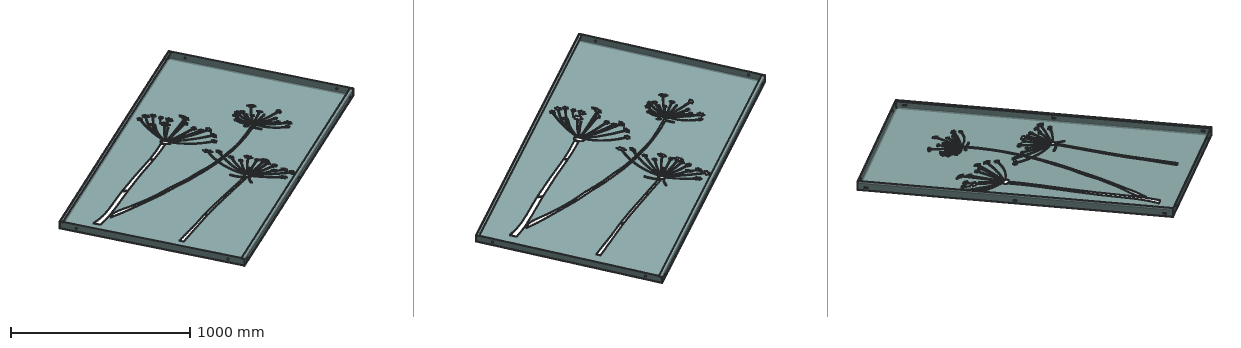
import cadquery as cq
import math

LENGTH_X = 1100.0
LENGTH_Y = 1800.0
HEIGHT = 50.0
SHEET = 3.0
BEND_INNER = 1.5
BEND_OUTER = BEND_INNER + SHEET
LIP_WIDTH = 20.0
CORNER_GAP = 0.5
END_WALL_NOTCH = LIP_WIDTH + CORNER_GAP

END_HOLE_DIA = 8.0
END_HOLE_X = 450.0
END_HOLE_Z = HEIGHT / 2
SLOT_LENGTH = 20.0
SLOT_WIDTH = 6.0
SLOT_Y = 850.0
SLOT_Z = 20.0

STALK_ROOT_WIDTH = 1.5
STALK_TIP_WIDTH = 6.0
SEPAL_WIDTH = 6.0
HUB_BRIDGE = 8.0
PETALS = 6
NOTCH_RATIO = 0.6
NODE_BRIDGE = 5.0
STEM_FOOT_Y = -787.0


def long_sides():
    """Floor and long walls: a C section with round bends, run along Y."""
    half = LENGTH_X / 2
    outer = cq.Workplane("XZ").rect(LENGTH_X, HEIGHT).extrude(LENGTH_Y / 2, both=True)
    outer = outer.edges("|Y").fillet(BEND_OUTER)
    inner = (
        cq.Workplane("XZ")
        .rect(LENGTH_X - 2 * SHEET, HEIGHT - 2 * SHEET)
        .extrude(LENGTH_Y / 2, both=True)
        .edges("|Y")
        .fillet(BEND_INNER)
    )
    opening = cq.Workplane("XY").box(2 * (half - LIP_WIDTH), LENGTH_Y, HEIGHT, centered=(True, True, False))
    return outer.cut(inner).cut(opening).translate((0, 0, HEIGHT / 2))


def end_wall():
    """Wall on the -Y end, bent up from the floor and notched under the lips."""
    width = LENGTH_X - 2 * (SHEET + CORNER_GAP)
    wall_y = -LENGTH_Y / 2
    profile = (
        cq.Workplane("YZ")
        .moveTo(wall_y + BEND_OUTER, 0)
        .radiusArc((wall_y, BEND_OUTER), BEND_OUTER)
        .lineTo(wall_y, HEIGHT)
        .lineTo(wall_y + SHEET, HEIGHT)
        .lineTo(wall_y + SHEET, BEND_OUTER)
        .radiusArc((wall_y + BEND_OUTER, SHEET), -BEND_INNER)
        .close()
    )
    wall = profile.extrude(width / 2, both=True)
    for side in (-1, 1):
        notch = cq.Workplane("XY").box(2 * END_WALL_NOTCH, 2 * BEND_OUTER, 2 * (SHEET + CORNER_GAP))
        wall = wall.cut(notch.translate((side * LENGTH_X / 2, wall_y, HEIGHT)))
        relief = cq.Workplane("XY").box(2 * BEND_OUTER, 4 * BEND_OUTER, 2 * BEND_OUTER)
        wall = wall.cut(relief.translate((side * LENGTH_X / 2, wall_y, 0)))
    return wall


def tray():
    """Complete tray without holes."""
    body = long_sides()
    for side in (-1, 1):
        strip = cq.Workplane("XY").box(LENGTH_X - 2 * SHEET, 2 * BEND_OUTER, 4 * BEND_OUTER)
        body = body.cut(strip.translate((0, side * LENGTH_Y / 2, 0)))
    wall = end_wall()
    return body.union(wall).union(wall.mirror("XZ"))


def wall_holes():
    """Round holes through the end walls and slots through the long walls."""
    holes = (
        cq.Workplane("XZ", origin=(0, 0, END_HOLE_Z))
        .pushPoints([(-END_HOLE_X, 0), (END_HOLE_X, 0)])
        .circle(END_HOLE_DIA / 2)
        .extrude(LENGTH_Y, both=True)
    )
    slots = (
        cq.Workplane("YZ", origin=(0, 0, SLOT_Z))
        .pushPoints([(-SLOT_Y, 0), (0, 0), (SLOT_Y, 0)])
        .slot2D(SLOT_LENGTH, SLOT_WIDTH)
        .extrude(LENGTH_X, both=True)
    )
    return [holes, slots]


def floor_cutter(outline):
    """Turn a closed outline into a cutter that passes through the floor."""
    return outline.extrude(2 * SHEET, both=True)


def floret(x, y, width, height, tilt=0):
    """Cutter for one flower head: a ring of pointed petals in a tilted ellipse."""
    turn = math.radians(tilt)

    def rim(angle, ratio):
        u = ratio * width / 2 * math.cos(angle)
        v = ratio * height / 2 * math.sin(angle)
        return (x + u * math.cos(turn) - v * math.sin(turn), y + u * math.sin(turn) + v * math.cos(turn))

    step = math.pi / PETALS
    corners = [rim(corner * step, NOTCH_RATIO if corner % 2 else 1) for corner in range(2 * PETALS)]
    return floor_cutter(cq.Workplane("XY").polyline(corners).close())


def stalk(root, tip, bow, root_width=STALK_ROOT_WIDTH, tip_width=STALK_TIP_WIDTH):
    """Cutter for a thin tapered stalk; bow is how far its middle sinks below the chord."""
    dx = tip[0] - root[0]
    dy = tip[1] - root[1]
    length = math.hypot(dx, dy)
    nx = -dy / length
    ny = dx / length
    sink = -math.copysign(bow, ny)

    def offset(share, distance):
        return (root[0] + share * dx + distance * nx, root[1] + share * dy + distance * ny)

    middle = (root_width + tip_width) / 4
    outline = (
        cq.Workplane("XY")
        .moveTo(*offset(0, root_width / 2))
        .threePointArc(offset(0.5, sink + middle), offset(1, tip_width / 2))
        .lineTo(*offset(1, -tip_width / 2))
        .threePointArc(offset(0.5, sink - middle), offset(0, -root_width / 2))
        .close()
    )
    return floor_cutter(outline)


def umbel(hub, hub_width, hub_height, rays):
    """Cutters for a hub and its rays: (x, y, bow, floret width, height, tilt) for each ray."""
    cutters = [floor_cutter(cq.Workplane("XY").center(*hub).ellipse(hub_width / 2, hub_height / 2))]
    for x, y, bow, width, height, tilt in rays:
        angle = math.atan2((y - 2 * bow - hub[1]) / hub_height, (x - hub[0]) / hub_width)
        root = (
            hub[0] + (hub_width / 2 + HUB_BRIDGE) * math.cos(angle),
            hub[1] + (hub_height / 2 + HUB_BRIDGE) * math.sin(angle),
        )
        cutters.append(stalk(root, (x, y), bow))
        if width:
            cutters.append(floret(x, y, width, height, tilt))
    return cutters


def stem(left, right, nodes):
    """Cutters for a stem between two smooth edges, with solid bridges (x, y, tilt) at its nodes."""
    outline = (
        cq.Workplane("XY")
        .moveTo(*left[0])
        .spline(left[1:], includeCurrent=True)
        .lineTo(*right[-1])
        .spline(right[-2::-1], includeCurrent=True)
        .close()
    )
    cutter = floor_cutter(outline)
    bridge_length = 60.0
    for x, y, tilt in nodes:
        bridge = cq.Workplane("XY").box(bridge_length, NODE_BRIDGE, 8 * SHEET)
        cutter = cutter.cut(bridge.rotate((0, 0, 0), (0, 0, 1), tilt).translate((x, y, 0)))
    return [cutter]


def left_flower():
    """Large flower on the left with the thickest stem."""
    rays = [
        (-495, 275, 10, 32, 26, 0),
        (-473, 312, 22, 40, 28, 0),
        (-408, 246, 12, 34, 16, 0),
        (-390, 236, 9, 0, 0, 0),
        (-345, 275, 6, 60, 32, 0),
        (-318, 252, 3, 0, 0, 0),
        (-258, 368, 1, 52, 26, -20),
        (-243, 325, 1, 44, 22, -40),
        (-180, 290, 4, 30, 28, 0),
        (-134, 285, 4, 32, 22, 0),
        (-97, 306, 6, 46, 24, -35),
        (-53, 262, 8, 50, 24, -30),
        (-30, 208, 18, 34, 26, -20),
    ]
    cutters = umbel((-281, 105), 60, 29, rays)
    cutters.append(floret(-338, 325, 50, 26, -15))
    cutters.append(floret(-285, 380, 28, 14, -10))
    cutters.append(floret(-436, 331, 34, 22))
    cutters.append(floret(-388, 327, 26, 22))
    cutters.append(stalk((-406, 258), (-436, 331), 3))
    cutters.append(stalk((-377, 290), (-388, 327), 3))
    cutters.append(stalk((-343, 282), (-341, 320), 1))
    left = [
        (-301, 86), (-302, 0), (-307, -75), (-322, -200),
        (-338, -345), (-350, -500), (-359, -670), (-388, STEM_FOOT_Y),
    ]
    right = [
        (-276, 86), (-279, 0), (-285, -75), (-299, -200),
        (-311, -345), (-320, -500), (-328, -670), (-347, STEM_FOOT_Y),
    ]
    return cutters + stem(left, right, [(-296, -80, 0), (-329, -424, 30)])


def upper_flower():
    """Flower at the top whose long curved stem branches from the left stem."""
    rays = [
        (15, 450, 10, 22, 18, 0),
        (-5, 490, 12, 32, 24, 0),
        (-4, 520, 6, 28, 28, 0),
        (20, 535, 3, 30, 20, 20),
        (52, 515, 2, 16, 16, 0),
        (85, 520, 2, 22, 22, 0),
        (47, 609, 6, 52, 22, 10),
        (111, 571, 1, 34, 16, 0),
        (145, 553, 2, 0, 0, 0),
        (210, 609, 3, 36, 24, -45),
        (214, 536, 3, 20, 24, -30),
        (197, 506, 2, 14, 14, 0),
        (242, 510, 4, 24, 20, 0),
        (297, 522, 8, 44, 28, 0),
        (307, 482, 16, 28, 20, 30),
    ]
    cutters = umbel((118, 438), 32, 17, rays)
    cutters.append(floret(88, 411, 28, 16, 20))
    cutters.append(stalk((134, 412), (178, 411), 1, SEPAL_WIDTH, SEPAL_WIDTH))
    left = [
        (-318, -655), (-283, -600), (-244, -550), (-210, -500),
        (-150, -400), (-102, -300), (-46, -200), (-3, -100),
        (22, -50), (42, 0), (58, 50), (73, 100),
        (86, 150), (98, 200), (110, 300), (115, 421),
    ]
    right = [
        (-318, -700), (-250, -600), (-220, -550), (-191, -500),
        (-131, -400), (-83, -300), (-29, -200), (16, -100),
        (37, -50), (55, 0), (71, 50), (84, 100),
        (97, 150), (107, 200), (121, 300), (127, 421),
    ]
    nodes = [(-141, -392, 20), (14, -84, 20), (56, 21, -20), (70, 68, -40), (118, 338, 0)]
    return cutters + stem(left, right, nodes)


def right_flower():
    """Flower on the right with a straight stem."""
    rays = [
        (-30, 103, 26, 58, 26, 0),
        (32, 118, 14, 46, 22, -25),
        (112, 92, 4, 32, 18, 0),
        (175, 78, 4, 26, 20, 0),
        (203, 125, 4, 52, 24, -5),
        (245, 22, 1, 20, 14, 0),
        (258, 112, 1, 24, 22, 0),
        (300, 124, 3, 56, 28, 0),
        (325, 105, 4, 36, 16, -10),
        (368, 94, 4, 34, 26, 30),
        (387, 49, 4, 36, 16, 0),
        (486, 64, 2, 44, 30, -30),
        (455, 4, 6, 46, 24, 10),
    ]
    cutters = umbel((260, -53), 44, 24, rays)
    cutters.append(floret(436, 76, 44, 20, -15))
    cutters.append(stalk((396, 52), (436, 76), 2))
    cutters.append(stalk((240, -74), (167, -76), 3, SEPAL_WIDTH, SEPAL_WIDTH))
    cutters.append(stalk((279, -73), (306, -108), 2, SEPAL_WIDTH, SEPAL_WIDTH))
    left = [
        (247, -78), (222, -200), (201, -300), (181, -400),
        (164, -500), (152, -600), (135, -700), (122, STEM_FOOT_Y),
    ]
    right = [
        (263, -74), (237, -200), (217, -300), (198, -400),
        (182, -500), (170, -600), (157, -700), (148, STEM_FOOT_Y),
    ]
    return cutters + stem(left, right, [(229, -207, 0), (175, -492, 0)])


body = tray().val().cut(*[hole.val() for hole in wall_holes()])
for flower in (left_flower(), upper_flower(), right_flower()):
    body = body.cut(*[cutter.val() for cutter in flower])
result = cq.Workplane(max(body.Solids(), key=lambda solid: solid.Volume()))